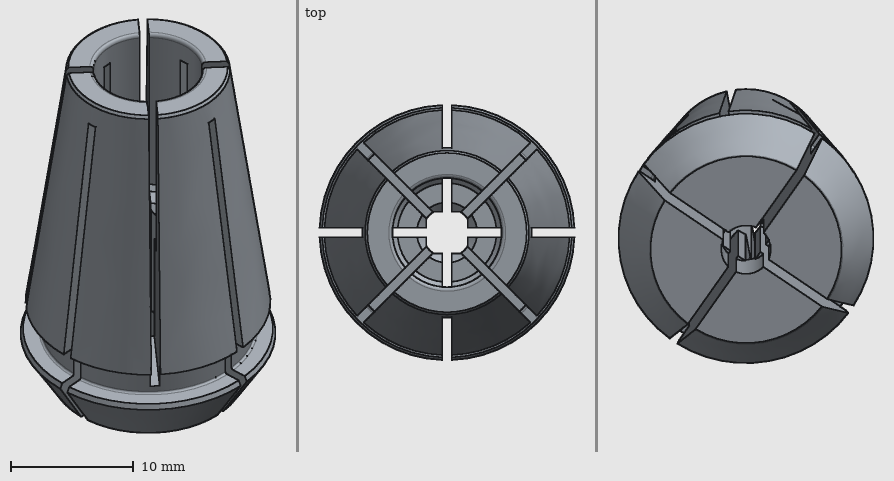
import cadquery as cq

total_height = 31.5
head_radius = 10.4
head_bottom_radius = 7.88
head_rim_z = 4.35
head_top_z = 4.8
head_top_radius = 10.17
foot_chamfer = 0.1

groove_radius = 8.73
groove_fillet = 0.2
taper_bottom_z = 7.62

taper_bottom_radius = 10.0
taper_top_radius = 6.68
taper_edge_chamfer_height = 0.25
taper_edge_chamfer_width = 0.2

shank_radius = 2.02
shank_depth = 5.05
drive_width = 3.37
drive_countersink_radius = 2.45
relief_radius = 4.45
relief_floor_z = 15.75
relief_floor_chamfer = 0.4
relief_mouth_fillet = 0.3

slot_width = 0.75
slot_overrun = 0.95
slot_length = 2 * (head_radius + slot_overrun)
lower_slot_top_z = total_height - 2.02
upper_slot_floor_z = 5.5


def revolve_about_axis(outline):
    """Revolve a closed XZ outline a full turn about the Z axis."""
    return outline.close().revolve(360, (0, 0, 0), (0, 1, 0))


def make_body():
    taper_edge_z = total_height - taper_edge_chamfer_height
    outline = (
        cq.Workplane("XZ")
        .lineTo(head_bottom_radius - foot_chamfer, 0)
        .lineTo(head_bottom_radius, foot_chamfer)
        .lineTo(head_radius, head_rim_z)
        .lineTo(head_top_radius, head_top_z)
        .lineTo(groove_radius + groove_fillet, head_top_z)
        .radiusArc((groove_radius, head_top_z + groove_fillet), groove_fillet)
        .lineTo(groove_radius, taper_bottom_z - groove_fillet)
        .radiusArc((groove_radius + groove_fillet, taper_bottom_z), groove_fillet)
        .lineTo(taper_bottom_radius, taper_bottom_z)
        .lineTo(taper_top_radius, taper_edge_z)
        .lineTo(taper_top_radius - taper_edge_chamfer_width, total_height)
        .lineTo(0, total_height)
    )
    return revolve_about_axis(outline)


def make_shank_bore():
    return cq.Workplane("XY").circle(shank_radius).extrude(shank_depth)


def make_square_drive():
    drive_length = relief_floor_z - shank_depth
    drive = (
        cq.Workplane("XY", origin=(0, 0, shank_depth))
        .rect(drive_width, drive_width)
        .extrude(drive_length)
    )
    corner_limit = cq.Workplane("XY").circle(shank_radius).extrude(relief_floor_z)
    return drive.intersect(corner_limit)


def make_relief_bore():
    """Wide bore open at the top, with a 45 degree countersink leading into the drive."""
    countersink_tip_z = relief_floor_z - drive_countersink_radius
    outline = (
        cq.Workplane("XZ")
        .moveTo(0, countersink_tip_z)
        .lineTo(drive_countersink_radius, relief_floor_z)
        .lineTo(relief_radius - relief_floor_chamfer, relief_floor_z)
        .lineTo(relief_radius, relief_floor_z + relief_floor_chamfer)
        .lineTo(relief_radius, total_height - relief_mouth_fillet)
        .radiusArc((relief_radius + relief_mouth_fillet, total_height), relief_mouth_fillet)
        .lineTo(0, total_height)
    )
    return revolve_about_axis(outline)


def make_slot_cross(bottom_z, top_z, first_angle):
    """Two full-width slots crossing at right angles on the axis."""
    slot = (
        cq.Workplane("XY", origin=(0, 0, bottom_z))
        .box(slot_length, slot_width, top_z - bottom_z, centered=(True, True, False))
        .rotate((0, 0, 0), (0, 0, 1), first_angle)
    )
    return slot.union(slot.rotate((0, 0, 0), (0, 0, 1), 90))


result = (
    make_body()
    .cut(make_shank_bore())
    .cut(make_square_drive())
    .cut(make_relief_bore())
    .cut(make_slot_cross(0, lower_slot_top_z, 0))
    .cut(make_slot_cross(upper_slot_floor_z, total_height, 45))
)